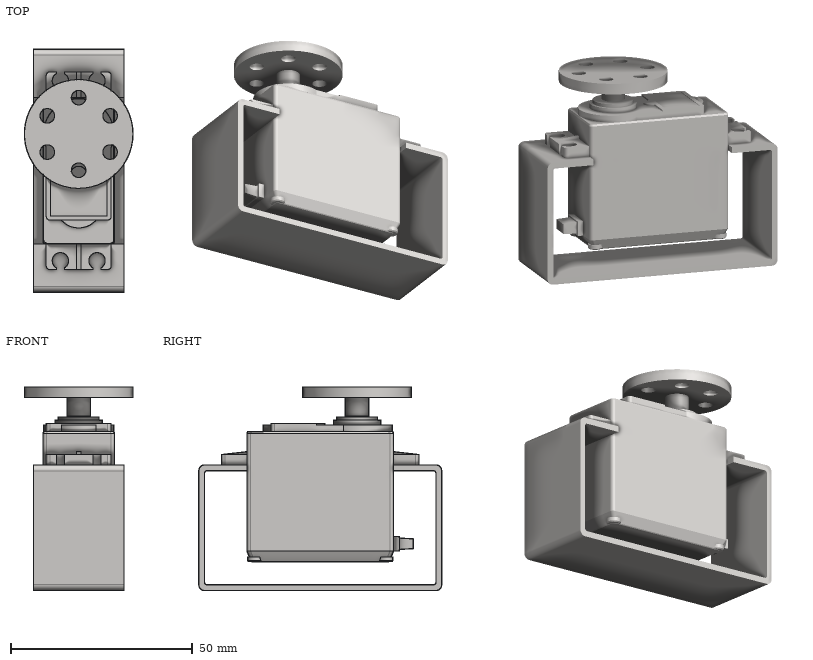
import cadquery as cq


bracket_width = 25.0
bracket_length = 67.0
bracket_height = 34.7
sheet_thickness = 1.65
bend_outer_radius = 1.65
bend_inner_radius = 0.65

case_width = 19.8
case_length = 40.5
case_corner_radius = 1.0
case_straight_bottom = 10.9
case_top = 43.85
case_top_chamfer_inset = 0.25
case_top_chamfer_height = 0.5
case_bottom = 7.9
case_taper_inset = 1.2
case_bottom_chamfer = 0.22
lip_overlap = 0.05
window_length = case_length - 2 * lip_overlap

screw_head_diameter = 4.0
screw_head_top = 9.35
screw_head_bottom = 8.0
screw_head_chamfer = 0.3
screw_edge_offset = 2.2
screw_x = case_width / 2 - screw_edge_offset
screw_y = case_length / 2 - screw_edge_offset

ear_width = 17.9
ear_span = 54.5
ear_thickness = 2.85
ear_corner_radius = 1.0
ear_hole_diameter = 4.5
ear_hole_spacing_x = 10.1
ear_hole_spacing_y = 49.6
ear_slot_width = 2.25
ear_top = bracket_height + ear_thickness
rib_width = 1.25
rib_height = 0.8

cable_flange_width = 8.0
cable_sleeve_width = 6.0
cable_middle = 12.95
cable_flange_height = 4.1
cable_flange_length = 1.55
cable_root_height = 3.4
cable_tip_height = 2.75
cable_tip_y = 25.65

shaft_y = 10.15
cover_top = 45.7
cover_round_radius = 9.7
cover_width = 17.9
cover_end_y = -13.6
cover_corner_radius = 1.0
cover_tab_radius = 6.4
cover_tab_end_y = -15.75

panel_top = 46.15
panel_start_y = -1.1
panel_bump_radius = 2.2
panel_bump_reach = 2.35
panel_rim = 1.2
panel_recess_depth = 0.2

collar_lower_diameter = 13.1
collar_lower_top = 47.0
collar_upper_diameter = 11.3
collar_upper_top = 47.95
shaft_diameter = 5.8
hub_diameter = 6.55
hub_bottom = 48.15
horn_diameter = 30.0
horn_thickness = 3.0
horn_top = 56.2
horn_bottom = horn_top - horn_thickness
horn_hole_count = 6
horn_hole_diameter = 4.0
horn_hole_circle_radius = 10.0


def block(width, length, bottom, top, y_center=0.0):
    """Box centred on X = 0, given by its Z range."""
    return (
        cq.Workplane("XY", origin=(0, y_center, bottom))
        .rect(width, length)
        .extrude(top - bottom)
    )


def disc(diameter, bottom, top, y_center):
    """Upright cylinder on the plane X = 0, given by its Z range."""
    return (
        cq.Workplane("XY", origin=(0, y_center, bottom))
        .circle(diameter / 2)
        .extrude(top - bottom)
    )


def side_profile(points, width):
    """Prism of a (Y, Z) outline, centred on X = 0."""
    return cq.Workplane("YZ").polyline(points).close().extrude(width / 2, both=True)


def make_bracket():
    outer = block(bracket_width, bracket_length, 0, bracket_height)
    outer = outer.edges("|X").fillet(bend_outer_radius)
    inner = block(
        bracket_width,
        bracket_length - 2 * sheet_thickness,
        sheet_thickness,
        bracket_height - sheet_thickness,
    )
    inner = inner.edges("|X").fillet(bend_inner_radius)
    window = block(bracket_width, window_length, bracket_height / 2, bracket_height)
    return outer.cut(inner).cut(window)


def case_section(inset):
    return (
        cq.Sketch()
        .rect(case_width - 2 * inset, case_length - 2 * inset)
        .vertices()
        .fillet(case_corner_radius)
    )


def case_loft(bottom, bottom_inset, top, top_inset):
    """Case slice whose rounded outline changes evenly from bottom to top."""
    return (
        cq.Workplane("XY", origin=(0, 0, bottom))
        .placeSketch(
            case_section(bottom_inset),
            case_section(top_inset).moved(cq.Location(cq.Vector(0, 0, top - bottom))),
        )
        .loft(ruled=True)
    )


def make_case():
    straight_top = case_top - case_top_chamfer_height
    taper_bottom = case_bottom + case_bottom_chamfer
    floor_inset = case_taper_inset + case_bottom_chamfer
    straight = block(case_width, case_length, case_straight_bottom, straight_top)
    straight = straight.edges("|Z").fillet(case_corner_radius)
    top_edge = case_loft(straight_top, 0, case_top, case_top_chamfer_inset)
    taper = case_loft(taper_bottom, case_taper_inset, case_straight_bottom, 0)
    bottom_edge = case_loft(case_bottom, floor_inset, taper_bottom, case_taper_inset)
    return straight.union(top_edge).union(taper).union(bottom_edge)


def make_screws():
    head = disc(screw_head_diameter, screw_head_bottom, screw_head_top, 0)
    head = head.faces("<Z").chamfer(screw_head_chamfer)
    screws = cq.Workplane("XY")
    for x in (-screw_x, screw_x):
        for y in (-screw_y, screw_y):
            screws = screws.union(head.translate((x, y, 0)))
    return screws


def make_ears():
    ears = block(ear_width, ear_span, bracket_height, ear_top)
    ears = ears.edges("|Z").fillet(ear_corner_radius)
    holes = (
        cq.Workplane("XY", origin=(0, 0, bracket_height))
        .rarray(ear_hole_spacing_x, ear_hole_spacing_y, 2, 2)
        .circle(ear_hole_diameter / 2)
        .extrude(ear_thickness)
    )
    slot_length = (ear_span - ear_hole_spacing_y) / 2
    slots = (
        cq.Workplane("XY", origin=(0, 0, bracket_height))
        .rarray(ear_hole_spacing_x, ear_hole_spacing_y + slot_length, 2, 2)
        .rect(ear_slot_width, slot_length)
        .extrude(ear_thickness)
    )
    case_end = case_length / 2
    ribs = side_profile(
        [
            (-ear_span / 2, ear_top),
            (-case_end, ear_top + rib_height),
            (case_end, ear_top + rib_height),
            (ear_span / 2, ear_top),
        ],
        rib_width,
    )
    return ears.cut(holes).cut(slots).union(ribs)


def make_cable_outlet():
    case_end = case_length / 2
    flange = block(
        cable_flange_width,
        cable_flange_length,
        cable_middle - cable_flange_height / 2,
        cable_middle + cable_flange_height / 2,
        case_end + cable_flange_length / 2,
    )
    sleeve = side_profile(
        [
            (case_end, cable_middle - cable_root_height / 2),
            (cable_tip_y, cable_middle - cable_tip_height / 2),
            (cable_tip_y, cable_middle + cable_tip_height / 2),
            (case_end, cable_middle + cable_root_height / 2),
        ],
        cable_sleeve_width,
    )
    return flange.union(sleeve)


def cover_block(start_y, top):
    """Straight part of the gear cover from start_y to its rounded -Y end."""
    length = start_y - cover_end_y
    straight = block(cover_width, length, case_top, top, cover_end_y + length / 2)
    return straight.edges("|Z and <Y").fillet(cover_corner_radius)


def make_gear_cover():
    tab_y = cover_tab_end_y + cover_tab_radius
    around_shaft = disc(2 * cover_round_radius, case_top, cover_top, shaft_y)
    tab = disc(2 * cover_tab_radius, case_top, cover_top, tab_y)
    return cover_block(shaft_y, cover_top).union(around_shaft).union(tab)


def make_label_panel():
    bump_y = panel_start_y + panel_bump_reach - panel_bump_radius
    bump = disc(2 * panel_bump_radius, case_top, panel_top, bump_y)
    panel_length = panel_start_y - cover_end_y
    recess = block(
        cover_width - 2 * panel_rim,
        panel_length - 2 * panel_rim,
        panel_top - panel_recess_depth,
        panel_top,
        (panel_start_y + cover_end_y) / 2,
    )
    return cover_block(panel_start_y, panel_top).union(bump).cut(recess)


def make_output_shaft():
    lower_collar = disc(collar_lower_diameter, case_top, collar_lower_top, shaft_y)
    upper_collar = disc(collar_upper_diameter, case_top, collar_upper_top, shaft_y)
    shaft = disc(shaft_diameter, case_top, horn_bottom, shaft_y)
    return lower_collar.union(upper_collar).union(shaft)


def make_horn():
    plate = disc(horn_diameter, horn_bottom, horn_top, shaft_y)
    hub = disc(hub_diameter, hub_bottom, horn_bottom, shaft_y)
    holes = (
        cq.Workplane("XY", origin=(0, shaft_y, horn_bottom))
        .polarArray(horn_hole_circle_radius, 90, 360, horn_hole_count)
        .circle(horn_hole_diameter / 2)
        .extrude(horn_thickness)
    )
    return plate.cut(holes).union(hub)


result = (
    make_bracket()
    .union(make_case())
    .union(make_screws())
    .union(make_ears())
    .union(make_cable_outlet())
    .union(make_gear_cover())
    .union(make_label_panel())
    .union(make_output_shaft())
    .union(make_horn())
)